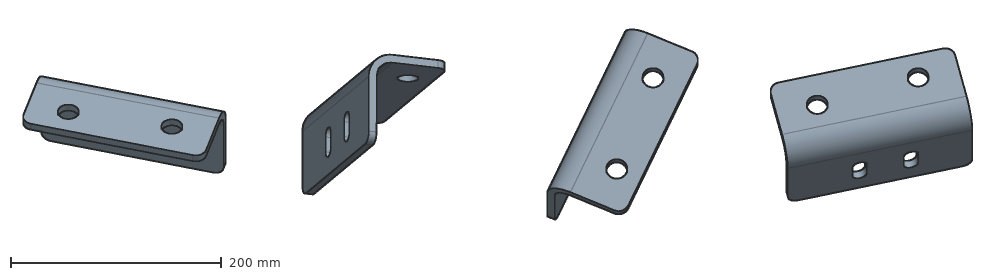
import cadquery as cq

length = 180.0
depth = 80.0
height = 89.0
thickness = 8.0

inner_bend_radius = 16.0
outer_bend_radius = inner_bend_radius + thickness
corner_radius = 10.0

hole_diameter = 20.0
hole_centers = [(40.0, 25.4), (140.0, 32.4)]

slot_width = 14.0
slot_height = 29.0
slot_center_height = 32.5
slot_offsets = [60.0, 110.0]


def bent_plate():
    """L-shaped plate: left end at X = 0, front edge at Y = 0, bottom edge at Z = 0."""
    plate = (
        cq.Workplane("YZ")
        .moveTo(0, height)
        .lineTo(depth, height)
        .lineTo(depth, 0)
        .lineTo(depth - thickness, 0)
        .lineTo(depth - thickness, height - thickness)
        .lineTo(0, height - thickness)
        .close()
        .extrude(length)
    )
    inner_edge = cq.selectors.NearestToPointSelector(
        (length / 2, depth - thickness, height - thickness)
    )
    outer_edge = cq.selectors.NearestToPointSelector((length / 2, depth, height))
    plate = plate.edges(inner_edge).fillet(inner_bend_radius)
    return plate.edges(outer_edge).fillet(outer_bend_radius)


def round_free_corners(plate):
    """Round the two free corners of each flange."""
    plate = plate.faces("<Y").edges("|Z").fillet(corner_radius)
    return plate.faces("<Z").edges("|Y").fillet(corner_radius)


def flange_holes():
    return (
        cq.Workplane("XY", origin=(0, 0, height - thickness))
        .pushPoints(hole_centers)
        .circle(hole_diameter / 2)
        .extrude(thickness)
    )


def upright_slots():
    return (
        cq.Workplane("XZ", origin=(0, depth, 0))
        .pushPoints([(x, slot_center_height) for x in slot_offsets])
        .slot2D(slot_height, slot_width, 90)
        .extrude(thickness)
    )


result = round_free_corners(bent_plate()).cut(flange_holes()).cut(upright_slots())